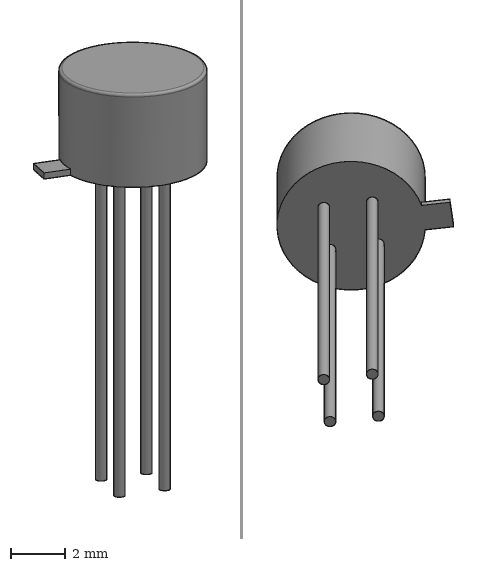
import cadquery as cq
import math

total_height = 16.38
overall_width = 5.73
can_diameter = 5.45
can_height = 3.67
tab_thickness = 0.25
rim_radius = 0.11
tab_width = 1.05
pin_diameter = 0.43
pin_circle_diameter = 2.54
pin_count = 4
tab_angle = 225.0

can_radius = can_diameter / 2
pin_length = total_height - can_height
tab_corner_reach = overall_width - can_radius
tab_reach = tab_corner_reach * math.sqrt(2) - tab_width / 2


def make_can():
    """Round can with a softened top rim, standing on the Z = 0 plane."""
    can = cq.Workplane("XY").circle(can_radius).extrude(can_height)
    return can.faces(">Z").edges().fillet(rim_radius)


def make_tab():
    """Flat index tab, running from the can axis out past its wall."""
    tab = cq.Workplane("XY").box(tab_reach, tab_width, tab_thickness, centered=(False, True, False))
    return tab.rotate((0, 0, 0), (0, 0, 1), tab_angle)


def make_pins():
    """Round leads hanging below the can, evenly spaced on a circle."""
    return (
        cq.Workplane("XY")
        .polarArray(pin_circle_diameter / 2, 0, 360, pin_count)
        .circle(pin_diameter / 2)
        .extrude(-pin_length)
    )


result = make_can().union(make_tab()).union(make_pins())